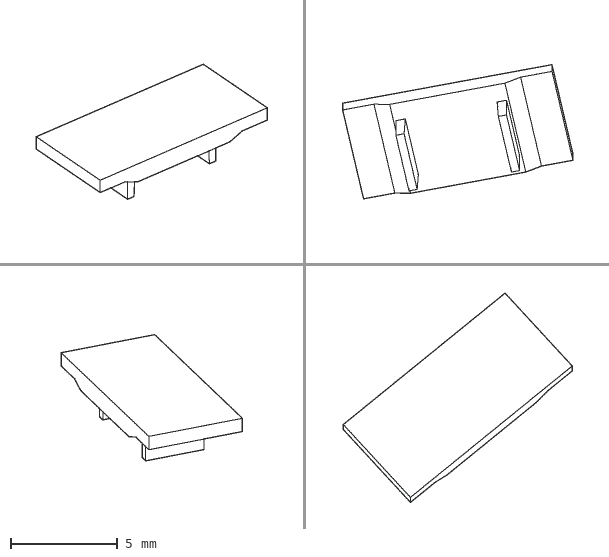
import cadquery as cq

width = 4.8
length = 10.0
total_height = 2.47
plate_thickness = 0.69
pad_depth = 0.31
pad_top_length = 7.0
pad_bottom_length = 5.5

leg_width = 3.0
leg_span = 5.28
leg_root_thickness = 0.45
leg_tip_thickness = 0.39

plate_bottom = total_height - plate_thickness
pad_bottom = plate_bottom - pad_depth


def make_plate():
    """Flat rectangular plate."""
    plate = cq.Workplane("XY").workplane(offset=plate_bottom)
    return plate.rect(width, length).extrude(plate_thickness)


def extrude_across(outline, extent):
    """Extrude a closed (Y, Z) outline along X, centred on X = 0."""
    return cq.Workplane("YZ").polyline(outline).close().extrude(extent / 2, both=True)


def make_pad():
    """Full-width pad whose ends slope inward toward its bottom."""
    outline = [
        (-pad_top_length / 2, plate_bottom),
        (pad_top_length / 2, plate_bottom),
        (pad_bottom_length / 2, pad_bottom),
        (-pad_bottom_length / 2, pad_bottom),
    ]
    return extrude_across(outline, width)


def make_leg(side):
    """Leg on the +Y (side = 1) or -Y (side = -1) half."""
    outer = leg_span / 2
    outline = [
        (side * outer, pad_bottom),
        (side * outer, 0),
        (side * (outer - leg_tip_thickness), 0),
        (side * (outer - leg_root_thickness), pad_bottom),
    ]
    return extrude_across(outline, leg_width)


result = make_plate().union(make_pad())
for side in (-1, 1):
    result = result.union(make_leg(side))